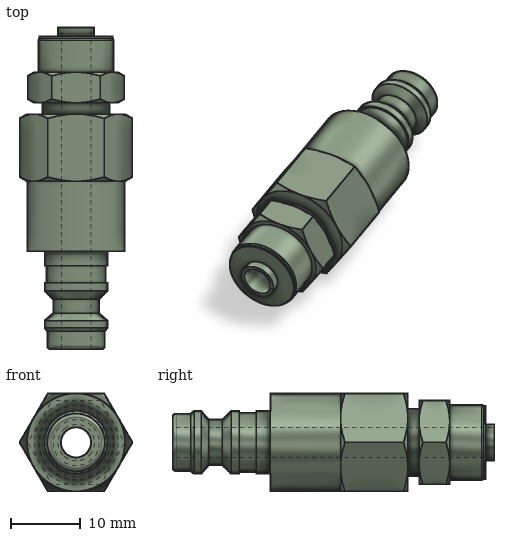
import cadquery as cq
import math

total_length = 46.0
bore_diameter = 4.3

body_flats = 14.0
nut_flats = 12.0
hex_chamfer_angle = 30.0

tip_end = 2.58
front_collar_start = 3.1
front_collar_end = 4.1
groove_start = 5.15
groove_end = 7.15
rear_collar_start = 8.35
rear_collar_end = 9.5
shank_end = 11.95
barrel_start = 14.0
body_hex_start = 24.0
body_hex_end = 33.63
nut_start = 35.25
nut_end = 39.6
sleeve_shoulder = 44.2
rim_start = 44.5
sleeve_end = 44.75

tip_diameter = 8.25
collar_diameter = 9.0
groove_diameter = 6.6
shank_diameter = 8.5
barrel_diameter = body_flats
thread_diameter = 9.65
sleeve_diameter = 10.75
sleeve_rim_diameter = 10.5
tube_diameter = 5.2

tip_round = 0.5


def axial(start):
    """Workplane across the axis at a station, extruding toward +Y."""
    return cq.Workplane(cq.Plane(origin=(0, start, 0), xDir=(1, 0, 0), normal=(0, 1, 0)))


def cylinder(start, end, diameter):
    return axial(start).circle(diameter / 2).extrude(end - start)


def cone(start, end, start_diameter, end_diameter):
    profile = [(0, start), (start_diameter / 2, start), (end_diameter / 2, end), (0, end)]
    return cq.Workplane("XY").polyline(profile).close().revolve(360, (0, 0, 0), (0, 1, 0))


def chamfered_hexagon(start, end, flats):
    """Hexagon with corners on X, its corners turned off conically at both ends."""
    flat_radius = flats / 2
    corner_diameter = flats / math.cos(math.radians(30))
    corner_radius = corner_diameter / 2
    setback = (corner_radius - flat_radius) * math.tan(math.radians(hex_chamfer_angle))
    prism = axial(start).polygon(6, corner_diameter).extrude(end - start)
    envelope = (
        cone(start, start + setback, flats, corner_diameter)
        .union(cylinder(start + setback, end - setback, corner_diameter))
        .union(cone(end - setback, end, corner_diameter, flats))
    )
    return prism.intersect(envelope)


def make_plug():
    """Stepped quick-connect plug with a locking groove between two collars."""
    tip = cylinder(0, tip_end, tip_diameter).faces("<Y").edges().fillet(tip_round)
    return (
        tip
        .union(cone(tip_end, front_collar_start, tip_diameter, collar_diameter))
        .union(cylinder(front_collar_start, front_collar_end, collar_diameter))
        .union(cone(front_collar_end, groove_start, collar_diameter, groove_diameter))
        .union(cylinder(groove_start, groove_end, groove_diameter))
        .union(cone(groove_end, rear_collar_start, groove_diameter, collar_diameter))
        .union(cylinder(rear_collar_start, rear_collar_end, collar_diameter))
        .union(cylinder(rear_collar_end, shank_end, shank_diameter))
        .union(cylinder(shank_end, barrel_start, collar_diameter))
    )


def make_body():
    """Round barrel, body hexagon and the threaded neck behind it."""
    return (
        cylinder(barrel_start, body_hex_start, barrel_diameter)
        .union(chamfered_hexagon(body_hex_start, body_hex_end, body_flats))
        .union(cylinder(body_hex_end, nut_start, thread_diameter))
    )


def make_nut():
    """Clamping nut: hexagon, round sleeve with a tapered rim, and the protruding tube."""
    return (
        chamfered_hexagon(nut_start, nut_end, nut_flats)
        .union(cylinder(nut_end, sleeve_shoulder, sleeve_diameter))
        .union(cone(sleeve_shoulder, rim_start, sleeve_diameter, sleeve_rim_diameter))
        .union(cylinder(rim_start, sleeve_end, sleeve_rim_diameter))
        .union(cylinder(sleeve_end, total_length, tube_diameter))
    )


bore = cylinder(0, total_length, bore_diameter)
fitting = make_plug().union(make_body()).union(make_nut()).cut(bore)

result = fitting.translate((0, -total_length / 2, 0))